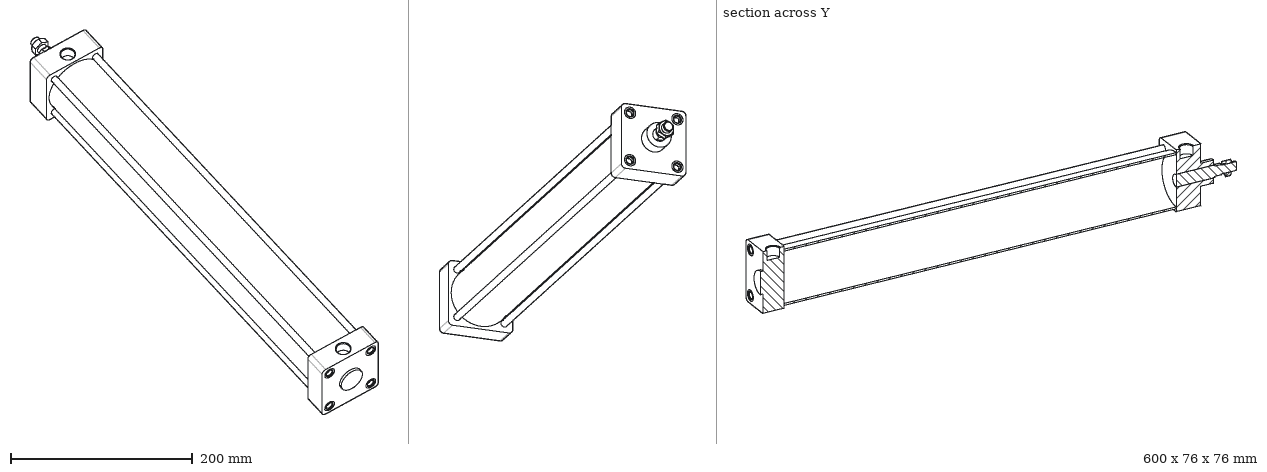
import cadquery as cq
import math

overall_length = 600.0
nut_start = 6.5
nut_thickness = 7.0
thread_end = 19.0
flats_end = 27.0
collar_start = 29.0
front_head_start = 45.0
front_head_length = 31.0
rear_head_length = 27.0
boss_height = 3.0
rear_head_end = overall_length - boss_height
rear_head_start = rear_head_end - rear_head_length
front_head_end = front_head_start + front_head_length

head_width = 76.0
head_corner_radius = 5.0
collar_diameter = 29.0
port_diameter = 15.5
port_mouth_diameter = 17.5
port_depth = 12.0
front_port_x = 63.0
rear_port_x = 584.0

tube_outer_diameter = 69.5
tube_inner_diameter = 63.5

tie_rod_diameter = 8.0
tie_rod_spacing = 56.0
tie_rod_offset = tie_rod_spacing / 2
tie_rod_head_diameter = 13.0
tie_rod_head_length = 6.0
socket_diameter = 8.0
socket_mouth_diameter = 9.5
socket_depth = 5.0

rod_diameter = 15.0
rod_across_flats = 13.0
thread_diameter = 11.5
tip_chamfer = 0.9
nut_across_flats = 17.5
nut_chamfer_diameter = 17.0
nut_chamfer_length = 1.0


def disc(start, end, diameter, y=0.0, z=0.0):
    """Cylinder along X from start to end, centred on (y, z)."""
    plane = cq.Workplane("YZ", origin=(start, y, z))
    return plane.circle(diameter / 2).extrude(end - start)


def tie_rod_places():
    """Y and Z of the four tie rods."""
    return [(y, z) for y in (-tie_rod_offset, tie_rod_offset) for z in (-tie_rod_offset, tie_rod_offset)]


def tie_rod_blank(y, z):
    """Headed tie rod without sockets, which is also the shape of its hole through the heads."""
    shank = disc(front_head_start, rear_head_end, tie_rod_diameter, y, z)
    front_end = disc(front_head_start, front_head_start + tie_rod_head_length, tie_rod_head_diameter, y, z)
    rear_end = disc(rear_head_end - tie_rod_head_length, rear_head_end, tie_rod_head_diameter, y, z)
    return shank.union(front_end).union(rear_end)


def chamfered_hole(plane, diameter, mouth_diameter, depth):
    """Tool for a blind hole with a 45 degree mouth, going against the plane's normal."""
    mouth_depth = (mouth_diameter - diameter) / 2
    hole = plane.circle(diameter / 2).extrude(-depth)
    mouth = plane.circle(mouth_diameter / 2).extrude(-mouth_depth, taper=45)
    return hole.union(mouth)


def head_block(start, length, port_x):
    """Rounded square block with a blind port in its top."""
    block = (
        cq.Workplane("YZ", origin=(start, 0, 0))
        .rect(head_width, head_width)
        .extrude(length)
        .edges("|X")
        .fillet(head_corner_radius)
    )
    port_plane = cq.Workplane("XY", origin=(port_x, 0, head_width / 2))
    return block.cut(chamfered_hole(port_plane, port_diameter, port_mouth_diameter, port_depth))


def cut_tie_rod_holes(head):
    for y, z in tie_rod_places():
        head = head.cut(tie_rod_blank(y, z))
    return head


def make_front_head():
    head = head_block(front_head_start, front_head_length, front_port_x)
    head = head.union(disc(collar_start, front_head_start, collar_diameter))
    return cut_tie_rod_holes(head).cut(disc(collar_start, front_head_end, rod_diameter))


def make_rear_head():
    head = head_block(rear_head_start, rear_head_length, rear_port_x)
    head = head.union(disc(rear_head_end, overall_length, collar_diameter))
    return cut_tie_rod_holes(head)


def make_tube():
    outside = disc(front_head_end, rear_head_start, tube_outer_diameter)
    return outside.cut(disc(front_head_end, rear_head_start, tube_inner_diameter))


def make_tie_rod(y, z):
    """Tie rod with flush heads and a blind socket in each end."""
    front_plane = cq.Workplane("YZ", origin=(front_head_start, y, z)).transformed(rotate=(180, 0, 0))
    rear_plane = cq.Workplane("YZ", origin=(rear_head_end, y, z))
    rod = tie_rod_blank(y, z)
    for end_plane in (front_plane, rear_plane):
        rod = rod.cut(chamfered_hole(end_plane, socket_diameter, socket_mouth_diameter, socket_depth))
    return rod


def make_piston_rod():
    """Rod with two wrench flats facing up and down and a threaded tip."""
    rod = disc(thread_end, front_head_end, rod_diameter)
    flat_length = flats_end - thread_end
    slab = cq.Workplane("XY").box(flat_length, rod_diameter, rod_diameter)
    for side in (-1, 1):
        z = side * (rod_across_flats + rod_diameter) / 2
        rod = rod.cut(slab.translate((thread_end + flat_length / 2, 0, z)))
    thread = disc(0, thread_end, thread_diameter).faces("<X").chamfer(tip_chamfer)
    return rod.union(thread)


def make_nut():
    """Hexagon nut with corners up and down, its front corners turned off to a cone."""
    corner_diameter = nut_across_flats / math.cos(math.pi / 6)
    plane = cq.Workplane("YZ", origin=(nut_start, 0, 0)).transformed(rotate=(0, 0, 90))
    hexagon = plane.polygon(6, corner_diameter).extrude(nut_thickness)
    envelope = disc(nut_start, nut_start + nut_thickness, corner_diameter)
    cone_drop = (corner_diameter - nut_chamfer_diameter) / 2
    envelope = envelope.faces("<X").chamfer(nut_chamfer_length, cone_drop)
    return hexagon.intersect(envelope).cut(disc(nut_start, nut_start + nut_thickness, thread_diameter))


tie_rods = [make_tie_rod(y, z) for y, z in tie_rod_places()]

result = cq.Compound.makeCompound([
    make_front_head().val(),
    make_rear_head().val(),
    make_tube().val(),
    *[tie_rod.val() for tie_rod in tie_rods],
    make_piston_rod().val(),
    make_nut().val(),
])